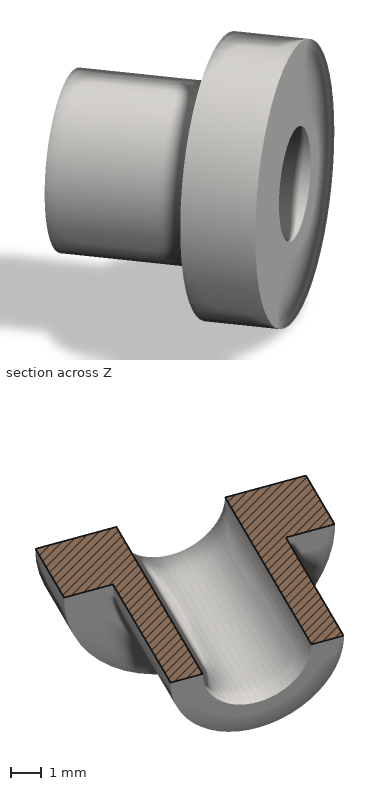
import cadquery as cq

flange_diameter = 9.53
sleeve_diameter = 6.1
bore_diameter = 3.81
total_length = 7.62
flange_thickness = 2.54

sleeve_end_x = -total_length / 2
flange_face_x = total_length / 2 - flange_thickness


def cylinder_along_x(start_x, length, diameter):
    """Solid cylinder on the X axis, running toward +X from start_x."""
    return cq.Workplane("YZ", origin=(start_x, 0, 0)).circle(diameter / 2).extrude(length)


sleeve = cylinder_along_x(sleeve_end_x, total_length, sleeve_diameter)
flange = cylinder_along_x(flange_face_x, flange_thickness, flange_diameter)
bore = cylinder_along_x(sleeve_end_x, total_length, bore_diameter)

result = sleeve.union(flange).cut(bore)